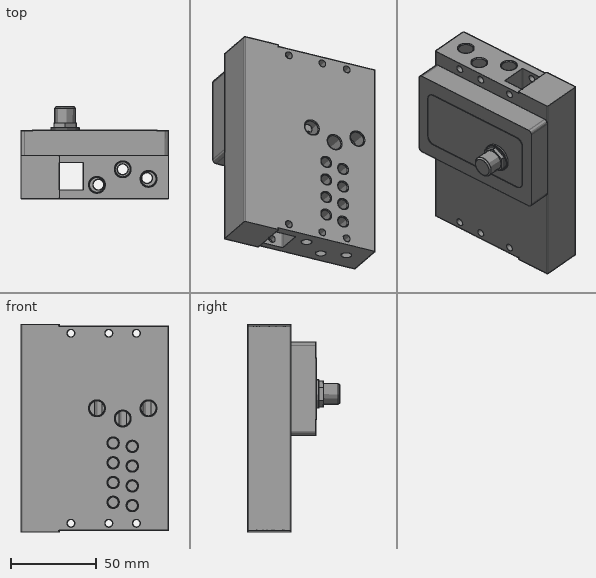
import cadquery as cq

length = 86.0
depth = 25.3
height = 121.0
edge_round = 0.6

cap_width = 22.4
cap_overhang = 1.1
block_bottom = cap_overhang
block_top = height - cap_overhang

housing_top = 110.7
housing_height = 54.5
housing_back = 39.7
housing_corner = 2.2
housing_mid = housing_top - housing_height / 2

label_width = 72.2
label_height = 35.6
label_corner = 4.2
label_back = 40.0

connector_x = 25.8
connector_z = 80.5
washer_diameter = 16.6
washer_back = 41.6
washer_chamfer = 0.4
nut_across_corners = 15.2
nut_back = 44.0
barrel_diameter = 12.2
barrel_back = 53.6
barrel_chamfer = 0.91

channel_width = 13.9
channel_front = 5.2
channel_back = 21.0
channel_corner = 0.5

mount_diameter = 4.4
mount_xs = (29.2, 51.2, 67.3)
mount_edge = 5.2

inward = (0, 1, 0)
downward = (0, 0, -1)

port_diameter = 8.7
port_mouth = 9.8
port_chamfer = (port_mouth - port_diameter) / 2
top_port_depth = 14.5
gallery_diameter = 6.2
supply_ports = (
    (44.3, 8.1, 45.1, 8.2, 72.1, 10.4),
    (59.3, 17.2, 59.3, 17.2, 66.2, 15.0),
    (74.3, 11.6, 73.5, 12.1, 72.1, 10.2),
)

outlet_diameter = 6.0
outlet_mouth = 7.1
outlet_chamfer = (outlet_mouth - outlet_diameter) / 2
outlet_depth = 12.1
outlet_pitch = 11.5
outlet_rows = 4
outlet_columns = ((53.7, 17.4), (64.9, 15.5))


def upright_block(width, bottom, top):
    """Block from the left face with its vertical edges rounded."""
    block = cq.Workplane("XY").box(width, depth, top - bottom, centered=False)
    return block.edges("|Z").fillet(edge_round).translate((0, 0, bottom))


def raised_plate(width, tall, corner, front, back):
    """Plate with rounded corners, centred on the housing, between two Y levels."""
    plate = cq.Workplane("XZ").rect(width, tall).extrude(front - back)
    return plate.edges("|Y").fillet(corner).translate((length / 2, front, housing_mid))


def connector_base():
    """Work plane on the housing back, centred on the connector and facing +Y."""
    plane = cq.Plane((connector_x, housing_back, connector_z), xDir=(0, 0, 1), normal=(0, 1, 0))
    return cq.Workplane(plane)


def chamfered_disc(diameter, back, chamfer):
    """Round connector stage with its outer end chamfered."""
    disc = connector_base().circle(diameter / 2).extrude(back - housing_back)
    return disc.faces(">Y").chamfer(chamfer)


def connector():
    """Washer, hexagon nut with corners up and down, and barrel."""
    washer = chamfered_disc(washer_diameter, washer_back, washer_chamfer)
    nut = connector_base().polygon(6, nut_across_corners).extrude(nut_back - housing_back)
    barrel = chamfered_disc(barrel_diameter, barrel_back, barrel_chamfer)
    return washer.union(nut).union(barrel)


def port(mouth_centre, direction, diameter, chamfer, port_depth):
    """Cutter for a flat-bottomed port with a chamfered mouth."""
    plane = cq.Plane(mouth_centre, xDir=(1, 0, 0), normal=direction)
    bore = cq.Workplane(plane).circle(diameter / 2).extrude(port_depth)
    mouth_radius = diameter / 2 + chamfer
    cone = cq.Solid.makeCone(mouth_radius, diameter / 2, chamfer, mouth_centre, direction)
    return bore.union(cq.Workplane(cone))


result = upright_block(length, block_bottom, block_top).union(upright_block(cap_width, 0, height))
result = result.union(raised_plate(length, housing_height, housing_corner, depth, housing_back))
result = result.union(raised_plate(label_width, label_height, label_corner, housing_back, label_back))
result = result.union(connector())

channel = cq.Workplane("XY").box(channel_width, channel_back - channel_front, height, centered=False)
channel = channel.edges("|Z").fillet(channel_corner)
result = result.cut(channel.translate((cap_width, channel_front, 0)))

for x in mount_xs:
    for z in (mount_edge, height - mount_edge):
        result = result.cut(cq.Workplane("XZ").center(x, z).circle(mount_diameter / 2).extrude(-depth))

for port_x, top_y, gallery_x, gallery_y, front_z, front_depth in supply_ports:
    top_mouth = (port_x, top_y, block_top)
    front_mouth = (port_x, 0, front_z)
    gallery = cq.Workplane("XY").center(gallery_x, gallery_y).circle(gallery_diameter / 2).extrude(height)
    result = result.cut(port(top_mouth, downward, port_diameter, port_chamfer, top_port_depth))
    result = result.cut(port(front_mouth, inward, port_diameter, port_chamfer, front_depth))
    result = result.cut(gallery)

for x, lowest_z in outlet_columns:
    for row in range(outlet_rows):
        mouth = (x, 0, lowest_z + row * outlet_pitch)
        result = result.cut(port(mouth, inward, outlet_diameter, outlet_chamfer, outlet_depth))